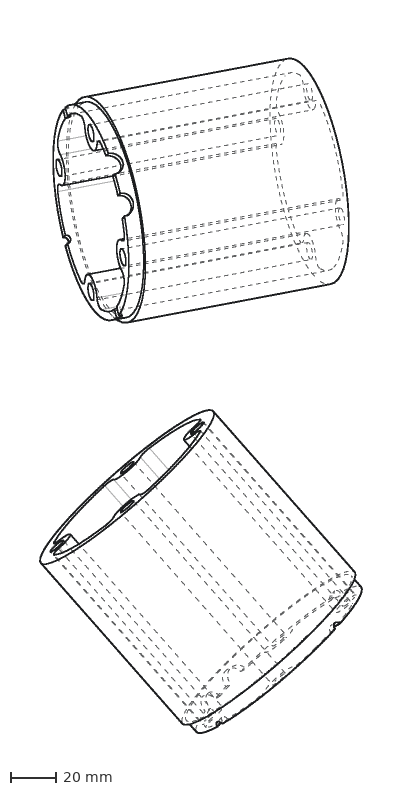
import cadquery as cq
import math

total_length = 102.7
outer_radius = 50.7
bore_radius = 44.5

spigot_radius = 48.5
spigot_length = 7.0

boss_count = 4
boss_circle_radius = 40.9
boss_radius = 7.9
boss_fillet = 4.1
screw_hole_diameter = 7.6

small_notch_radius = 2.0
small_notch_angles = (135, 225, 315)
large_notch_radius = 5.0
large_notch_angle = 45
large_notch_offset = 9.5

front_y = -total_length / 2
step_y = front_y + spigot_length


def cylinder(radius, start_y, length, x=0, z=0):
    """Cylinder running from start_y toward +Y."""
    base = cq.Vector(x, start_y, z)
    return cq.Workplane(cq.Solid.makeCylinder(radius, length, base, cq.Vector(0, 1, 0)))


def bore():
    """Opening whose outline blends around the inward-facing bosses."""
    fillet_circle = bore_radius - boss_fillet
    fillet_to_boss = boss_radius + boss_fillet
    fillet_angle = math.acos(
        (fillet_circle**2 + boss_circle_radius**2 - fillet_to_boss**2)
        / (2 * fillet_circle * boss_circle_radius)
    )
    center_u = fillet_circle * math.cos(fillet_angle)
    center_v = fillet_circle * math.sin(fillet_angle)
    boss_share = boss_radius / fillet_to_boss
    tangent_u = boss_circle_radius + (center_u - boss_circle_radius) * boss_share
    tangent_v = center_v * boss_share
    bore_u = bore_radius * math.cos(fillet_angle)
    bore_v = bore_radius * math.sin(fillet_angle)

    bore_direction = fillet_angle
    boss_direction = math.atan2(-center_v, boss_circle_radius - center_u)
    middle_direction = (bore_direction + boss_direction) / 2
    middle_u = center_u + boss_fillet * math.cos(middle_direction)
    middle_v = center_v + boss_fillet * math.sin(middle_direction)

    def turned(u, v, angle):
        return (
            u * math.cos(angle) - v * math.sin(angle),
            u * math.sin(angle) + v * math.cos(angle),
        )

    step = 2 * math.pi / boss_count
    outline = cq.Workplane("XZ", origin=(0, total_length / 2, 0)).moveTo(bore_u, -bore_v)
    for index in range(boss_count):
        angle = index * step
        outline = (
            outline
            .threePointArc(turned(middle_u, -middle_v, angle), turned(tangent_u, -tangent_v, angle))
            .threePointArc(
                turned(boss_circle_radius - boss_radius, 0, angle),
                turned(tangent_u, tangent_v, angle),
            )
            .threePointArc(turned(middle_u, middle_v, angle), turned(bore_u, bore_v, angle))
            .threePointArc(
                turned(bore_radius, 0, angle + step / 2),
                turned(bore_u, -bore_v, angle + step),
            )
        )
    return outline.close().extrude(total_length)


def notch(radius, angle, offset=0):
    """Cutter in the end face, parallel to the radius at angle and shifted sideways."""
    base = cq.Vector(-offset * math.sin(angle), front_y, offset * math.cos(angle))
    direction = cq.Vector(math.cos(angle), 0, math.sin(angle))
    return cq.Workplane(cq.Solid.makeCylinder(radius, outer_radius, base, direction))


body = cylinder(outer_radius, step_y, total_length - spigot_length)
body = body.union(cylinder(spigot_radius, front_y, spigot_length))
body = body.cut(bore())

for index in range(boss_count):
    hole_angle = index * 2 * math.pi / boss_count
    hole_x = boss_circle_radius * math.cos(hole_angle)
    hole_z = boss_circle_radius * math.sin(hole_angle)
    body = body.cut(cylinder(screw_hole_diameter / 2, front_y, total_length, hole_x, hole_z))

for degrees in small_notch_angles:
    body = body.cut(notch(small_notch_radius, math.radians(degrees)))
for side in (-1, 1):
    body = body.cut(notch(large_notch_radius, math.radians(large_notch_angle), side * large_notch_offset))

result = body